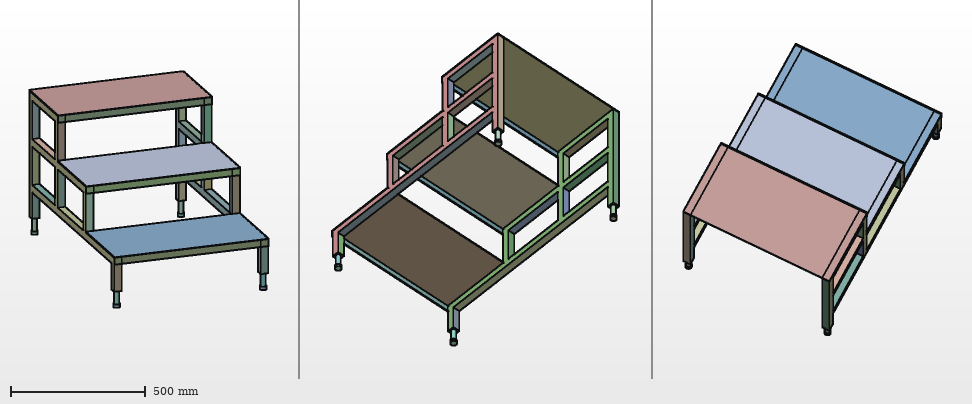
import cadquery as cq

total_length = 915.0
total_width = 610.0
total_height = 563.5

sheet = 4.0
tread_pitch = 303.0
tread_rise = 180.0
tread_length = total_length - 2 * tread_pitch
lip_height = 30.0
tread_count = 3

bar = 30.0
frame_bottom = 65.0

stem_diameter = 20.0
collar_diameter = 26.0
collar_height = 13.0


def tread_front(step):
    """X of the lip's outer face; step 0 is the highest tread."""
    return tread_length + step * tread_pitch


def tread_top(step):
    return total_height - step * tread_rise


def column_front(step):
    """X of the front face of the column behind a tread's lip."""
    return tread_front(step) - sheet


def beam_top(step):
    return tread_top(step) - sheet


def box(x_range, y_range, z_range):
    """Axis-aligned block spanning the given (low, high) ranges."""
    lows, highs = zip(x_range, y_range, z_range)
    sizes = [high - low for low, high in zip(lows, highs)]
    return cq.Workplane("XY").box(*sizes, centered=False).translate(lows)


def make_tread(step):
    """Flat tread with its front lip."""
    front = tread_front(step)
    top = tread_top(step)
    full_width = (0, total_width)
    plate = box((front - tread_length, front), full_width, (top - sheet, top))
    lip = box((front - sheet, front), full_width, (top - lip_height, top))
    return plate.union(lip)


def make_side_frame(y_low, treads):
    """Welded frame of beams and columns, recessed where the treads' rear edges enter it."""
    depth = (y_low, y_low + bar)
    lowest = tread_count - 1
    frame = box((0, bar), depth, (frame_bottom, beam_top(0)))
    for step in range(tread_count):
        front = column_front(step)
        top = beam_top(step)
        column_bottom = frame_bottom if step == lowest else beam_top(lowest) - bar
        frame = frame.union(box((0, front), depth, (top - bar, top)))
        frame = frame.union(box((front - bar, front), depth, (column_bottom, top)))
    for tread in treads:
        frame = frame.cut(tread)
    return frame


def make_foot(x, y):
    """Round stem standing on a wider collar, under a leg."""
    collar = cq.Workplane("XY").center(x, y).circle(collar_diameter / 2).extrude(collar_height)
    stem = cq.Workplane("XY").center(x, y).circle(stem_diameter / 2).extrude(frame_bottom)
    return collar.union(stem)


treads = [make_tread(step) for step in range(tread_count)]
side_frames = [make_side_frame(y_low, treads) for y_low in (0, total_width - bar)]

leg_centers_x = (bar / 2, column_front(tread_count - 1) - bar / 2)
leg_centers_y = (bar / 2, total_width - bar / 2)
feet = [make_foot(x, y) for x in leg_centers_x for y in leg_centers_y]

result = cq.Compound.makeCompound([body.solids().val() for body in treads + side_frames + feet])